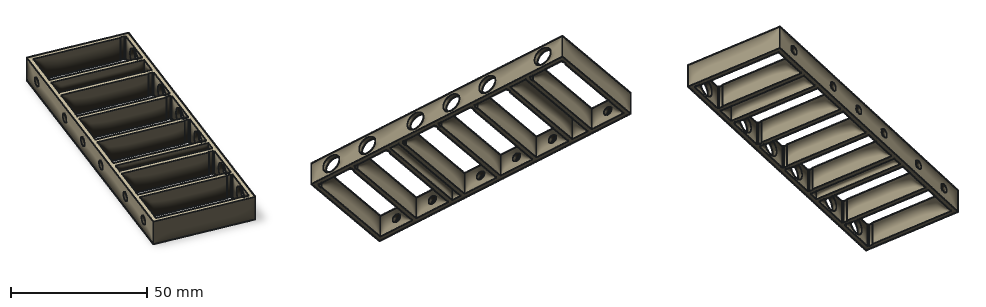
import cadquery as cq

length = 117.0
width = 40.9
height = 10.1

wall = 1.9
wide_cell = 14.9
first_gap = 7.1
second_gap = length - 9 * wall - 6 * wide_cell - first_gap
cell_depth = width - 2 * wall
cells = [
    (wide_cell, True),
    (first_gap, False),
    (wide_cell, True),
    (wide_cell, True),
    (wide_cell, True),
    (second_gap, False),
    (wide_cell, True),
    (wide_cell, True),
]

front_hole_diameter = 3.5
back_hole_diameter = 7.5
groove_depth = 0.3
groove_width = 1.5
groove_offset = 0.6


def corner_box(x, y, size_x, size_y):
    """Full-height block with its lower left corner at (x, y)."""
    return cq.Workplane("XY").box(size_x, size_y, height, centered=False).translate((x, y, 0))


def wall_hole(x, wall_start, diameter):
    """Cylinder along Y through one long wall, at mid height."""
    start = cq.Vector(x, wall_start, height / 2)
    return cq.Solid.makeCylinder(diameter / 2, wall, start, cq.Vector(0, 1, 0))


def cut_wide_cell_details(frame, left):
    """Cut the two holes and the pair of side grooves of one wide cell."""
    center = left + wide_cell / 2
    groove_start = width - wall - groove_offset - groove_width
    grooves = corner_box(left - groove_depth, groove_start, wide_cell + 2 * groove_depth, groove_width)
    frame = frame.cut(grooves)
    frame = frame.cut(wall_hole(center, 0, front_hole_diameter))
    return frame.cut(wall_hole(center, width - wall, back_hole_diameter))


frame = corner_box(0, 0, length, width)
left = wall
for cell_width, is_wide in cells:
    frame = frame.cut(corner_box(left, wall, cell_width, cell_depth))
    if is_wide:
        frame = cut_wide_cell_details(frame, left)
    left += cell_width + wall

result = frame.translate((-length / 2, -width / 2, -height / 2))